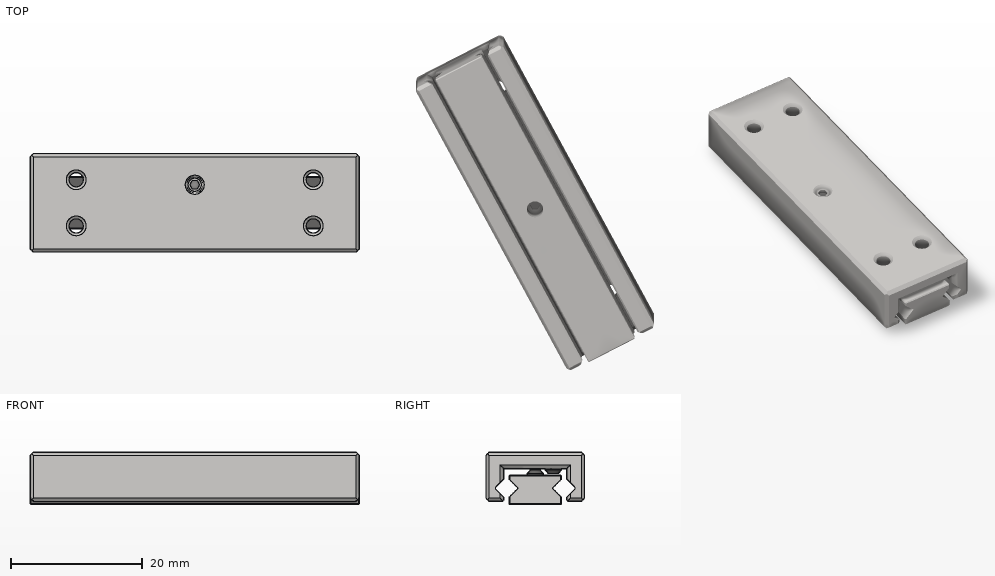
import cadquery as cq
import math

length = 50.0
housing_width = 15.0
housing_bottom = 0.5
housing_top = 8.0
housing_bevel = 0.5

channel_width = 9.5
channel_ceiling = 5.45
channel_flare = 0.6
lip_bevel = 0.25

rail_width = 8.0
rail_height = 4.5
rail_bevel = 0.15

groove_center_z = 2.5
groove_depth = 1.4
housing_groove_radius = 0.3

mount_hole_diameter = 2.15
mount_hole_mouth = 3.0
mount_hole_x = 18.0
mount_hole_y = 3.5

screw_diameter = 2.5
screw_length = 2.85
screw_tip_diameter = 1.5
screw_tip_length = 0.6
screw_socket_flats = 1.3
screw_socket_depth = 0.6

housing_screw_y = 2.75
housing_screw_tip_z = 4.7
housing_screw_mouth = 2.9
housing_screw_opening = 2.0

rail_screw_tip_z = 5.3

channel_height = channel_ceiling - housing_bottom
housing_screw_top = housing_screw_tip_z + screw_length


def bevelled_block(width, z_bottom, z_top, bevel):
    """Full-length block with every edge bevelled and the bevels mitred at the corners."""
    height = z_top - z_bottom
    block = cq.Workplane("XY").box(length, width, height).translate((0, 0, z_bottom + height / 2))
    bevelled = block
    for direction in ("|X", "|Y", "|Z"):
        bevelled = bevelled.intersect(block.edges(direction).chamfer(bevel))
    return bevelled


def prism_along_x(points):
    """Full-length prism with the given (y, z) outline, centred on X = 0."""
    return cq.Workplane("YZ").polyline(points).close().extrude(length / 2, both=True)


def diamond_bar(y_center, z_center, half_diagonal):
    """Square bar on edge; it cuts 90 degree V-grooves and 45 degree bevels."""
    return prism_along_x([
        (y_center - half_diagonal, z_center),
        (y_center, z_center + half_diagonal),
        (y_center + half_diagonal, z_center),
        (y_center, z_center - half_diagonal),
    ])


def cone_frustum(z_bottom, bottom_diameter, z_top, top_diameter):
    """Frustum on the Z axis between two heights."""
    half_profile = [
        (0, z_bottom),
        (bottom_diameter / 2, z_bottom),
        (top_diameter / 2, z_top),
        (0, z_top),
    ]
    return cq.Workplane("XZ").polyline(half_profile).close().revolve(360, (0, 0), (0, 1))


def cylinder(diameter, z_bottom, z_top):
    """Upright cylinder on the Z axis between two heights."""
    return cq.Workplane("XY").workplane(offset=z_bottom).circle(diameter / 2).extrude(z_top - z_bottom)


def top_countersink(mouth_diameter, hole_diameter):
    """45 degree countersink that opens at the top of the housing."""
    depth = (mouth_diameter - hole_diameter) / 2
    return cone_frustum(housing_top - depth, hole_diameter, housing_top, mouth_diameter)


def make_channel():
    """Channel open at the bottom, flared at 45 degrees at both ends."""
    channel = (
        cq.Workplane("XY")
        .box(length, channel_width, 2 * channel_height)
        .translate((0, 0, housing_bottom))
    )
    flare = (
        cq.Workplane("YZ", origin=(-length / 2, 0, housing_bottom))
        .rect(channel_width + 2 * channel_flare, 2 * (channel_height + channel_flare))
        .extrude(channel_flare, taper=45)
    )
    return channel.union(flare).union(flare.mirror("YZ"))


def make_mount_hole():
    """Countersunk mounting hole through the housing roof."""
    bore = cylinder(mount_hole_diameter, channel_ceiling, housing_top)
    return bore.union(top_countersink(mount_hole_mouth, mount_hole_diameter))


def make_housing_screw_hole():
    """Screw bore in the roof under a narrower countersunk opening."""
    bore = cylinder(screw_diameter, channel_ceiling, housing_screw_top)
    opening = cylinder(housing_screw_opening, channel_ceiling, housing_top)
    countersink = top_countersink(housing_screw_mouth, housing_screw_opening)
    return bore.union(opening).union(countersink)


def make_housing():
    """Bevelled U-shaped housing with an inner V-groove, round at the bottom, along each leg."""
    body = bevelled_block(housing_width, housing_bottom, housing_top, housing_bevel).cut(make_channel())
    for side in (-1, 1):
        leg_y = side * channel_width / 2
        groove = diamond_bar(leg_y, groove_center_z, groove_depth)
        rounded_groove = groove.edges(">Y or <Y").fillet(housing_groove_radius)
        body = body.cut(rounded_groove)
        body = body.cut(diamond_bar(leg_y, housing_bottom, lip_bevel))

    mount_hole = make_mount_hole()
    for x in (-mount_hole_x, mount_hole_x):
        for y in (-mount_hole_y, mount_hole_y):
            body = body.cut(mount_hole.translate((x, y, 0)))

    return body.cut(make_housing_screw_hole().translate((0, housing_screw_y, 0)))


def make_rail():
    """Bevelled rail with a V-groove in each side and a bore for its screw."""
    body = bevelled_block(rail_width, 0, rail_height, rail_bevel)
    for side in (-1, 1):
        body = body.cut(diamond_bar(side * rail_width / 2, groove_center_z, groove_depth))
    return body.cut(cylinder(screw_diameter, 0, rail_height))


def make_set_screw():
    """Set screw on the Z axis: tip down at Z = 0, hexagon socket at the top."""
    shank = cylinder(screw_diameter, screw_tip_length, screw_length)
    tip = cone_frustum(0, screw_tip_diameter, screw_tip_length, screw_diameter)
    socket = (
        cq.Workplane("XY")
        .workplane(offset=screw_length - screw_socket_depth)
        .polygon(6, screw_socket_flats / math.cos(math.pi / 6))
        .extrude(screw_socket_depth)
    )
    return shank.union(tip).cut(socket)


housing = make_housing()
rail = make_rail()

set_screws = [
    make_set_screw().translate((0, housing_screw_y, housing_screw_tip_z)),
    make_set_screw().mirror("XY").translate((0, 0, rail_screw_tip_z)),
]

result = cq.Compound.makeCompound([housing.val(), rail.val(), *[screw.val() for screw in set_screws]])